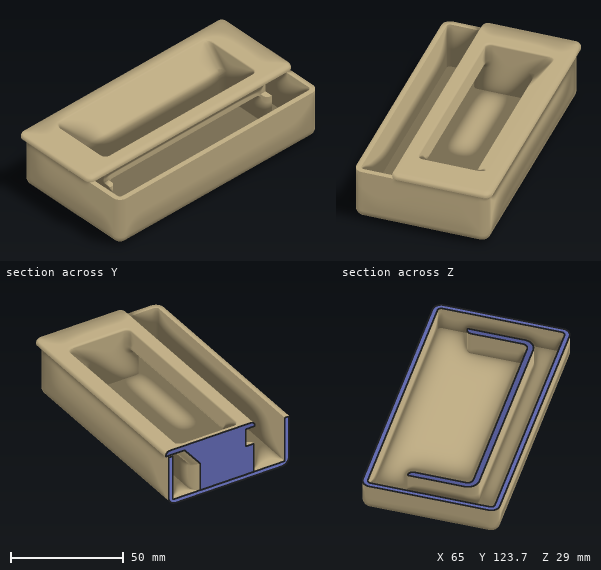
import cadquery as cq
import math

TOTAL_LENGTH = 123.7
TOTAL_WIDTH = 65.0
TOTAL_HEIGHT = 29.0

LID_OVERHANG = 1.5
TRAY_LENGTH = TOTAL_LENGTH - 2 * LID_OVERHANG
TRAY_HEIGHT = 25.5
TRAY_WALL = 2.5
TRAY_EDGE_RADIUS = 4.1
TRAY_INNER_RADIUS = TRAY_EDGE_RADIUS - TRAY_WALL

LID_WIDTH = 47.0
LID_THICKNESS = 2.7
LID_CORNER_RADIUS = 3.2
LID_TOP_RADIUS = 2.4
LID_BOTTOM = TOTAL_HEIGHT - LID_THICKNESS

CHUTE_X_MIN = 7.0
CHUTE_X_MAX = 39.8
CHUTE_LENGTH = 91.8
RAMP_FOOT_X = 17.6
RAMP_ANGLE = 50.0
RAMP_FOOT_RADIUS = 5.0
CHUTE_CORNER_RADIUS = 2.5
CHUTE_RIM_RADIUS = 1.1

SHELL_WALL = 3.0
FRONT_WALL = 2.5
SHELL_X_MAX = CHUTE_X_MAX + FRONT_WALL
SHELL_LENGTH = CHUTE_LENGTH + 2 * SHELL_WALL
SHELL_CORNER_RADIUS = CHUTE_CORNER_RADIUS + SHELL_WALL

OUTLET_TOP = 17.3
FRONT_WALL_FOOT_RADIUS = 2.2
CHEEK_X_MAX = 46.5
CHEEK_RADIUS = 2.4


def centered_box(x_min, x_max, length, z_min, z_max):
    """Box between two X and two Z positions, centred on Y = 0."""
    box = cq.Workplane("XY").box(x_max - x_min, length, z_max - z_min, centered=(False, True, False))
    return box.translate((x_min, 0, z_min))


def ramp_profile_block(offset, x_max, length):
    """Block from the tray floor to the top face whose -X side is the ramp moved outward by `offset`."""
    slope = math.radians(RAMP_ANGLE)
    top_x = CHUTE_X_MIN - offset / math.sin(slope)
    foot_x = RAMP_FOOT_X - offset
    foot_z = TOTAL_HEIGHT - (foot_x - top_x) * math.tan(slope)
    outline = [
        (top_x, TOTAL_HEIGHT),
        (x_max, TOTAL_HEIGHT),
        (x_max, TRAY_WALL),
        (foot_x, TRAY_WALL),
        (foot_x, foot_z),
    ]
    return cq.Workplane("XZ", origin=(0, length / 2, 0)).polyline(outline).close().extrude(length)


def round_ramp_sides(block, radius):
    """Round the two edges of the ramp and of the drop below it, where they meet the side walls."""
    ramp_edges = block.faces("<Y or >Y").edges("not(<Z or >Z or >X)")
    return ramp_edges.fillet(radius)


def make_tray():
    """Open-topped tray with round corners and a round bottom edge."""
    outer = centered_box(LID_OVERHANG, TOTAL_WIDTH, TRAY_LENGTH, 0, TRAY_HEIGHT)
    outer = outer.edges("|Z or <Z").fillet(TRAY_EDGE_RADIUS)
    cavity = centered_box(
        LID_OVERHANG + TRAY_WALL,
        TOTAL_WIDTH - TRAY_WALL,
        TRAY_LENGTH - 2 * TRAY_WALL,
        TRAY_WALL,
        TRAY_HEIGHT,
    )
    return outer.cut(cavity.edges("|Z").fillet(TRAY_INNER_RADIUS))


def make_lid_plate():
    """Flat plate with round corners and a rounded top edge."""
    plate = centered_box(0, LID_WIDTH, TOTAL_LENGTH, LID_BOTTOM, TOTAL_HEIGHT)
    return plate.edges("|Z").fillet(LID_CORNER_RADIUS).faces(">Z").edges().fillet(LID_TOP_RADIUS)


def make_shell_block():
    """Outside of the chute shell below the plate, with a low front part that leaves the cheeks."""
    shell = round_ramp_sides(ramp_profile_block(SHELL_WALL, SHELL_X_MAX, SHELL_LENGTH), SHELL_CORNER_RADIUS)
    shell = shell.intersect(centered_box(0, SHELL_X_MAX, SHELL_LENGTH, TRAY_WALL, LID_BOTTOM))
    front = centered_box(CHUTE_X_MAX, CHEEK_X_MAX, SHELL_LENGTH, TRAY_WALL, OUTLET_TOP)
    return shell.union(front)


def make_chute():
    """Volume of the chute: the ramp and drop blend into the side walls, and the ramp rolls over into the drop."""
    chute = round_ramp_sides(ramp_profile_block(0, CHUTE_X_MAX, CHUTE_LENGTH), CHUTE_CORNER_RADIUS)
    foot_drop = (RAMP_FOOT_X - CHUTE_X_MIN) * math.tan(math.radians(RAMP_ANGLE))
    foot = cq.Vector(RAMP_FOOT_X, 0, TOTAL_HEIGHT - foot_drop)
    return chute.edges(cq.NearestToPointSelector(foot)).fillet(RAMP_FOOT_RADIUS)


def cut_outlet(lid):
    """Open the chute below the +X wall and round the cheek tips, the foot of the wall and its corners."""
    half = CHUTE_LENGTH / 2
    lid = lid.cut(centered_box(CHUTE_X_MAX, CHEEK_X_MAX, CHUTE_LENGTH, TRAY_WALL, OUTLET_TOP))
    for side in (-1, 1):
        cheek_tip = (CHEEK_X_MAX, side * half, (TRAY_WALL + OUTLET_TOP) / 2)
        lid = lid.edges(cq.NearestToPointSelector(cheek_tip)).fillet(CHEEK_RADIUS)
    lid = lid.edges(cq.NearestToPointSelector((CHUTE_X_MAX, 0, OUTLET_TOP))).fillet(FRONT_WALL_FOOT_RADIUS)
    for side in (-1, 1):
        corner = (CHUTE_X_MAX, side * half, (OUTLET_TOP + TOTAL_HEIGHT) / 2)
        lid = lid.edges(cq.NearestToPointSelector(corner)).fillet(CHUTE_CORNER_RADIUS)
    return lid


def round_chute_rim(lid):
    """Round the edge where the chute meets the top face."""
    half = CHUTE_LENGTH / 2 + CHUTE_RIM_RADIUS
    rim = cq.selectors.BoxSelector(
        (CHUTE_X_MIN - CHUTE_RIM_RADIUS, -half, LID_BOTTOM),
        (CHUTE_X_MAX + CHUTE_RIM_RADIUS, half, TOTAL_HEIGHT + CHUTE_RIM_RADIUS),
    )
    return lid.faces(">Z").edges(rim).fillet(CHUTE_RIM_RADIUS)


def make_lid():
    """Plate and shell as one piece, with the chute and its outlet cut out."""
    lid = make_lid_plate().union(make_shell_block()).cut(make_chute())
    return round_chute_rim(cut_outlet(lid))


tray = make_tray()
lid = make_lid()
result = cq.Compound.makeCompound([tray.val(), lid.val()])